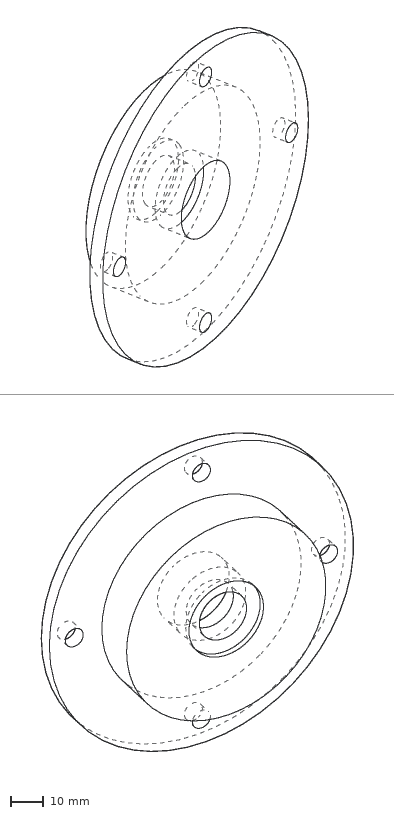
import cadquery as cq

total_length = 20.0
flange_diameter = 110.0
flange_thickness = 5.0
boss_diameter = 72.0
bore_diameter = 17.0
recess_diameter = 27.0
recess_depth = 2.0
pocket_diameter = 26.0
pocket_depth = 10.0
bolt_hole_diameter = 6.5
bolt_circle_diameter = 92.0
bolt_count = 4

boss_length = total_length - flange_thickness


def cylinder(diameter, length, start_x):
    """Solid cylinder about the X axis, running toward +X from start_x."""
    return cq.Workplane("YZ", origin=(start_x, 0, 0)).circle(diameter / 2).extrude(length)


body = cylinder(boss_diameter, boss_length, 0).union(
    cylinder(flange_diameter, flange_thickness, boss_length)
)

body = body.cut(cylinder(bore_diameter, total_length, 0))
body = body.cut(cylinder(recess_diameter, recess_depth, 0))

body = body.cut(cylinder(pocket_diameter, pocket_depth, total_length - pocket_depth))

bolt_holes = (
    cq.Workplane("YZ", origin=(boss_length, 0, 0))
    .polarArray(bolt_circle_diameter / 2, 0, 360, bolt_count)
    .circle(bolt_hole_diameter / 2)
    .extrude(flange_thickness)
)

result = body.cut(bolt_holes)